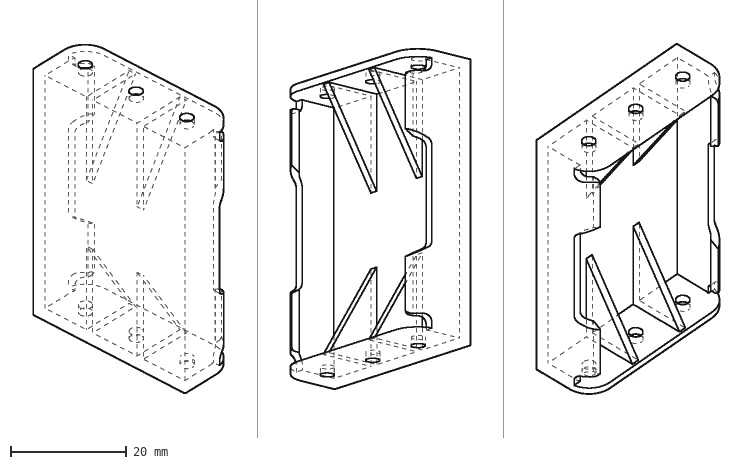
import cadquery as cq
import math

WIDTH = 36.0
DEPTH = 13.0
HEIGHT = 52.0
CORNER_RADIUS = 5.0
EDGE_RADIUS = 0.25

WALL = 1.5
MOUTH_WIDTH = 30.0

BAY_COUNT = 3
BAY_PITCH = WIDTH / BAY_COUNT
HOLE_DIAMETER = 2.5
HOLE_HEIGHT = 7.0

CUTOUT_FLOOR = 9.0
CUTOUT_RADIUS = 1.5
NOTCH_LENGTH = 2.5
LIP_RADIUS = 0.7
WINDOW_MOUTH = 23.2
WINDOW_FLOOR = 19.0

RIB_THICKNESS = 1.5
RIB_TOP = 12.5
RIB_ANGLE = 32.0

HALF_WIDTH = WIDTH / 2
HALF_HEIGHT = HEIGHT / 2
INNER_HALF_HEIGHT = HALF_HEIGHT - WALL
CORNER_INSET = MOUTH_WIDTH / 2 - (HALF_WIDTH - CORNER_RADIUS)
WALL_TOP = DEPTH - CORNER_RADIUS + (CORNER_RADIUS**2 - CORNER_INSET**2) ** 0.5


def rounded_block(margin, height):
    """Upright block inset by margin from the outer walls, with rounded back corners."""
    width = WIDTH - 2 * margin
    depth = DEPTH - 2 * margin
    block = cq.Workplane("XY").box(width, depth, height, centered=(True, False, True))
    block = block.translate((0, margin, 0))
    return block.edges("|Z and >Y").fillet(CORNER_RADIUS - margin)


def make_shell():
    """Outer block with softened edges, hollowed out and open through the back."""
    outer = rounded_block(0, HEIGHT)
    outer = outer.faces("<Y or <Z or >Z").edges().fillet(EDGE_RADIUS)
    inner_height = 2 * INNER_HALF_HEIGHT
    cavity = rounded_block(WALL, inner_height)
    mouth = cq.Workplane("XY").box(
        MOUTH_WIDTH, DEPTH - WALL, inner_height, centered=(True, False, True)
    )
    return outer.cut(cavity).cut(mouth.translate((0, WALL, 0)))


def across_width(outline, thickness):
    """Extrude a closed YZ outline symmetrically about the plane x = 0."""
    return outline.close().extrude(thickness / 2, both=True)


def end_notch():
    """Notch through both side walls just inside the upper end plate."""
    bottom = INNER_HALF_HEIGHT - NOTCH_LENGTH
    return across_width(
        cq.Workplane("YZ")
        .moveTo(CUTOUT_FLOOR, INNER_HALF_HEIGHT)
        .lineTo(CUTOUT_FLOOR, bottom + CUTOUT_RADIUS)
        .radiusArc((CUTOUT_FLOOR + CUTOUT_RADIUS, bottom), -CUTOUT_RADIUS)
        .lineTo(WALL_TOP - LIP_RADIUS, bottom)
        .radiusArc((WALL_TOP, bottom - LIP_RADIUS), LIP_RADIUS)
        .lineTo(DEPTH, bottom - LIP_RADIUS)
        .lineTo(DEPTH, INNER_HALF_HEIGHT),
        WIDTH,
    )


def middle_window():
    """Flared window through both side walls at mid height."""
    mouth = WINDOW_MOUTH / 2
    floor = WINDOW_FLOOR / 2
    window = across_width(
        cq.Workplane("YZ")
        .moveTo(CUTOUT_FLOOR, -floor)
        .lineTo(CUTOUT_FLOOR, floor)
        .lineTo(WALL_TOP, mouth)
        .lineTo(DEPTH, mouth)
        .lineTo(DEPTH, -mouth)
        .lineTo(WALL_TOP, -mouth),
        WIDTH,
    )
    return window.edges("<Y and |X").fillet(CUTOUT_RADIUS)


def wedge_rib():
    """Triangular rib joining the front wall to the upper end plate."""
    run = (RIB_TOP - WALL) / math.tan(math.radians(RIB_ANGLE))
    return across_width(
        cq.Workplane("YZ")
        .moveTo(WALL, INNER_HALF_HEIGHT)
        .lineTo(RIB_TOP, INNER_HALF_HEIGHT)
        .lineTo(WALL, INNER_HALF_HEIGHT - run),
        RIB_THICKNESS,
    )


def both_ends(upper):
    """The upper feature together with its mirror image at the lower end."""
    return upper.union(upper.mirror("XY"))


def contact_holes():
    """One hole per bay, running through both end plates."""
    first_bay = -(BAY_COUNT - 1) / 2 * BAY_PITCH
    centers = [(first_bay + i * BAY_PITCH, HOLE_HEIGHT) for i in range(BAY_COUNT)]
    return (
        cq.Workplane("XY")
        .pushPoints(centers)
        .circle(HOLE_DIAMETER / 2)
        .extrude(HALF_HEIGHT, both=True)
    )


holder = make_shell().cut(both_ends(end_notch())).cut(middle_window())
for divider in range(1, BAY_COUNT):
    rib_x = -HALF_WIDTH + divider * BAY_PITCH
    holder = holder.union(both_ends(wedge_rib()).translate((rib_x, 0, 0)))

holder = holder.cut(contact_holes())

result = holder.translate((0, -DEPTH / 2, 0))